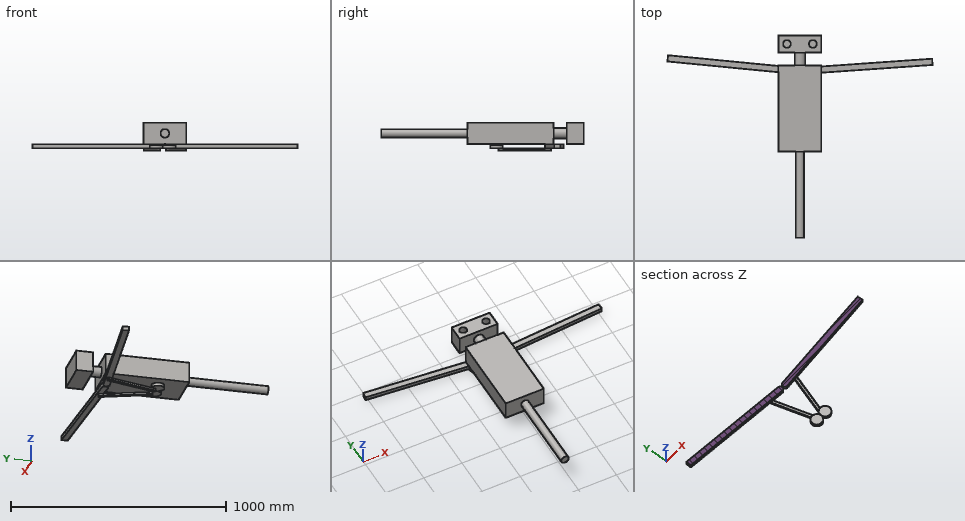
import cadquery as cq
import math

body_width = 200.0
body_length = 400.0
frame_height = 100.0
rod_diameter = 40.0
rod_length = 400.0
neck_diameter = 50.0
neck_length = 60.0
head_length = 80.0
head_hole_diameter = 36.0
head_hole_spacing = 120.0
head_hole_depth = frame_height / 2

arm_length = 600.0
arm_width = 30.0
arm_thickness = 20.0
arm_pivot_x = 16.675
arm_pivot_y = 175.0
arm_pin_distance = 75.0
left_arm_angle = 5.55
right_arm_angle = 4.0

disc_diameter = 60.0
disc_thickness = 15.0
disc_contact_x = -10.0
disc_y = -65.0
crank_radius = 20.0
left_crank_angle = 54.0
right_crank_angle = 112.0

link_width = 15.0
link_thickness = 10.0

body_front_y = body_length / 2
body_rear_y = -body_length / 2
arm_top_z = -frame_height / 2
link_top_z = arm_top_z - arm_thickness


def polar_offset(start, distance, angle):
    """Point at a distance from start, along an angle in degrees from +X."""
    turn = math.radians(angle)
    return (start[0] + distance * math.cos(turn), start[1] + distance * math.sin(turn))


def shaft(diameter, length, start_y):
    """Round bar on the frame axis, running toward +Y from start_y."""
    return cq.Workplane("XZ", origin=(0, start_y, 0)).circle(diameter / 2).extrude(-length)


def make_frame():
    body = cq.Workplane("XY").box(body_width, body_length, frame_height)
    rod = shaft(rod_diameter, rod_length, body_rear_y - rod_length)
    neck = shaft(neck_diameter, neck_length, body_front_y)
    head_y = body_front_y + neck_length + head_length / 2
    head = (
        cq.Workplane("XY", origin=(0, head_y, 0))
        .box(body_width, head_length, frame_height)
        .faces(">Z")
        .workplane()
        .rarray(head_hole_spacing, 1, 2, 1)
        .hole(head_hole_diameter, head_hole_depth)
    )
    return body.union(rod).union(neck).union(head)


def make_arm(pivot, direction):
    """Arm reaching from its pivot to its tip, with a round inner end."""
    half_width = arm_width / 2
    return (
        cq.Workplane("XY")
        .moveTo(0, half_width)
        .lineTo(arm_length, half_width)
        .lineTo(arm_length, -half_width)
        .lineTo(0, -half_width)
        .threePointArc((-half_width, 0), (0, half_width))
        .close()
        .extrude(-arm_thickness)
        .rotate((0, 0, 0), (0, 0, 1), direction)
        .translate((pivot[0], pivot[1], arm_top_z))
    )


def make_disc(center):
    return (
        cq.Workplane("XY", origin=(center[0], center[1], link_top_z))
        .circle(disc_diameter / 2)
        .extrude(disc_thickness)
    )


def make_link(disc_pin, arm_pin):
    """Bar with round ends centred on its two pins."""
    dx = arm_pin[0] - disc_pin[0]
    dy = arm_pin[1] - disc_pin[1]
    middle = ((disc_pin[0] + arm_pin[0]) / 2, (disc_pin[1] + arm_pin[1]) / 2)
    return (
        cq.Workplane("XY", origin=(middle[0], middle[1], link_top_z))
        .slot2D(math.hypot(dx, dy) + link_width, link_width, math.degrees(math.atan2(dy, dx)))
        .extrude(-link_thickness)
    )


frame = make_frame()
bodies = [frame.val()]

sides = [
    (-1, 180.0 - left_arm_angle, left_crank_angle),
    (1, right_arm_angle, right_crank_angle),
]
for sign, arm_direction, crank_angle in sides:
    arm_pivot = (sign * arm_pivot_x, arm_pivot_y)
    disc_center = (disc_contact_x + sign * disc_diameter / 2, disc_y)
    arm_pin = polar_offset(arm_pivot, arm_pin_distance, arm_direction)
    disc_pin = polar_offset(disc_center, crank_radius, crank_angle)
    arm = make_arm(arm_pivot, arm_direction)
    disc = make_disc(disc_center)
    link = make_link(disc_pin, arm_pin)
    bodies += [arm.val(), disc.val(), link.val()]

result = cq.Compound.makeCompound(bodies)